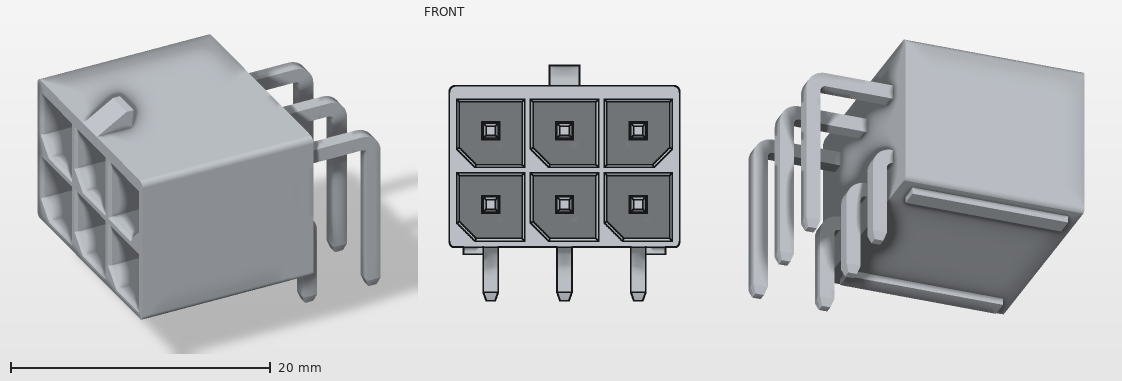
import cadquery as cq


COLUMNS = 3
ROWS = 2
PITCH = 5.68
LOWER_ROW_Z = 3.3

HOUSING_WIDTH = 17.75
HOUSING_DEPTH = 14.79
HOUSING_HEIGHT = 12.45
CORNER_RADIUS = 0.48
UNDERSIDE_TRIM = 0.05

MOUTH_SIZE = 5.27
CAVITY_DROP = 0.2
CAVITY_DEPTH = 12.07
KEY_CHAMFER = 1.43
LEAD_IN = 0.22
LEAD_IN_ANGLE = 45.0
PIN_HOLE_BEVEL = 0.099

LATCH_WIDTH = 2.33
LATCH_HEIGHT = 1.55
LATCH_REAR_FOOT = 3.0
LATCH_REAR_TOP = 3.18
LATCH_CREST = 0.6

RAIL_HEIGHT = 0.55
RAIL_WIDTH = 1.54
RAIL_OUTER_X = 7.79
RAIL_FRONT = 0.95
RAIL_REAR = 13.78

PIN_SIZE = 1.16
PIN_FRONT = 4.83
PIN_BOTTOM = -4.12
PIN_REAR = 21.95
LEG_ROW_SPACING = 5.48
BEND_OUTER_RADIUS = 1.6
TIP_LENGTH = 0.65
TIP_SIZE = 0.7

BEND_CENTRE_RADIUS = BEND_OUTER_RADIUS - PIN_SIZE / 2


def column_x(column):
    return (column - (COLUMNS - 1) / 2) * PITCH


def row_z(row):
    return LOWER_ROW_Z + row * PITCH


def leg_y(row):
    """Centre of the vertical leg; each lower row bends down closer to the housing."""
    return PIN_REAR - PIN_SIZE / 2 - (ROWS - 1 - row) * LEG_ROW_SPACING


def block(width, y_start, y_end, height):
    """Box centred on X that stands on Z = 0."""
    return (
        cq.Workplane("XY", origin=(0, (y_start + y_end) / 2, 0))
        .box(width, y_end - y_start, height, centered=(True, True, False))
    )


def frustum(plane, origin, base_size, end_size, length):
    """Square frustum that grows from the origin along the normal of the plane."""
    return (
        cq.Workplane(plane, origin=origin)
        .rect(base_size, base_size)
        .workplane(offset=length)
        .rect(end_size, end_size)
        .loft(combine=True)
    )



def make_pin(x, row):
    z = row_z(row)
    y_leg = leg_y(row)
    y_shank = PIN_FRONT + TIP_LENGTH
    z_leg_end = PIN_BOTTOM + TIP_LENGTH
    path = (
        cq.Workplane("YZ", origin=(x, 0, 0))
        .moveTo(y_shank, z)
        .lineTo(y_leg - BEND_CENTRE_RADIUS, z)
        .tangentArcPoint((y_leg, z - BEND_CENTRE_RADIUS), relative=False)
        .lineTo(y_leg, z_leg_end)
    )
    body = cq.Workplane("XZ", origin=(x, y_shank, z)).rect(PIN_SIZE, PIN_SIZE).sweep(path)
    contact_tip = frustum("XZ", (x, y_shank, z), PIN_SIZE, TIP_SIZE, TIP_LENGTH)
    solder_tip = frustum("XY", (x, y_leg, z_leg_end), PIN_SIZE, TIP_SIZE, -TIP_LENGTH)
    return body.union(contact_tip).union(solder_tip)



def make_shell():
    """Block with rounded long edges, shaved flat underneath through the lower roundings."""
    rounded = (
        block(HOUSING_WIDTH, 0, HOUSING_DEPTH, HOUSING_HEIGHT + UNDERSIDE_TRIM)
        .edges("|Y")
        .fillet(CORNER_RADIUS)
        .translate((0, 0, -UNDERSIDE_TRIM))
    )
    return rounded.intersect(block(HOUSING_WIDTH, 0, HOUSING_DEPTH, HOUSING_HEIGHT))


def make_latch():
    profile = (
        cq.Workplane("YZ", origin=(-LATCH_WIDTH / 2, 0, HOUSING_HEIGHT))
        .polyline([
            (0, 0),
            (LATCH_REAR_TOP - LATCH_CREST, LATCH_HEIGHT),
            (LATCH_REAR_TOP, LATCH_HEIGHT),
            (LATCH_REAR_FOOT, 0),
        ])
        .close()
    )
    return profile.extrude(LATCH_WIDTH)


def make_rail(side):
    """Standoff rail under the -X (side = -1) or +X (side = +1) edge of the housing."""
    rail = block(RAIL_WIDTH, RAIL_FRONT, RAIL_REAR, RAIL_HEIGHT)
    return rail.translate((side * (RAIL_OUTER_X - RAIL_WIDTH / 2), 0, -RAIL_HEIGHT))


def make_cavity(x, z, key_side):
    """Cutter for one cavity; its lower corner toward -X (key_side = -1) or +X (+1) is cut off."""
    half = MOUTH_SIZE / 2
    mouth = (
        cq.Workplane("ZX", origin=(x, 0, z))
        .polyline([
            (-half, -key_side * half),
            (half, -key_side * half),
            (half, key_side * half),
            (-half + KEY_CHAMFER, key_side * half),
            (-half, key_side * (half - KEY_CHAMFER)),
        ])
        .close()
    )
    bevel = mouth.extrude(LEAD_IN, taper=LEAD_IN_ANGLE)
    return bevel.faces(">Y").wires().toPending().extrude(CAVITY_DEPTH - LEAD_IN)


def make_pin_hole(x, z):
    """Cutter for a close-fitting pin hole through the rear wall, countersunk at the cavity floor."""
    hole = (
        cq.Workplane("ZX", origin=(x, CAVITY_DEPTH, z))
        .rect(PIN_SIZE, PIN_SIZE)
        .extrude(HOUSING_DEPTH - CAVITY_DEPTH)
    )
    countersink_size = PIN_SIZE + 2 * PIN_HOLE_BEVEL
    countersink = frustum("ZX", (x, CAVITY_DEPTH, z), countersink_size, PIN_SIZE, PIN_HOLE_BEVEL)
    return hole.union(countersink)


def make_housing():
    housing = make_shell().union(make_latch())
    for side in (-1, 1):
        housing = housing.union(make_rail(side))
    for column in range(COLUMNS):
        for row in range(ROWS):
            mirrored = column == COLUMNS - 1 and row == ROWS - 1
            x = column_x(column)
            z = row_z(row)
            housing = housing.cut(make_cavity(x, z - CAVITY_DROP, 1 if mirrored else -1))
            housing = housing.cut(make_pin_hole(x, z))
    return housing


housing = make_housing()
pins = [
    make_pin(column_x(column), row)
    for column in range(COLUMNS)
    for row in range(ROWS)
]

result = cq.Compound.makeCompound([housing.val(), *(pin.val() for pin in pins)])